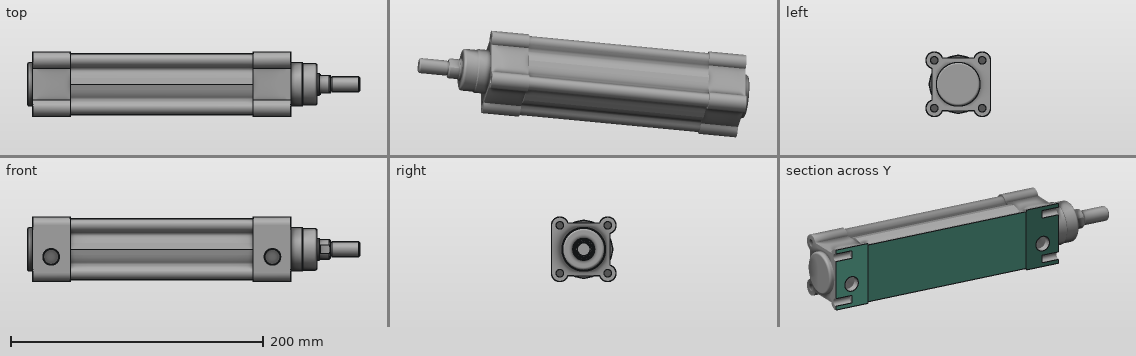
import cadquery as cq
import math


body_length = 205.0
cap_length = 30.0
tube_length = body_length - 2 * cap_length
rod_tip_x = 259.7

bolt_offset = 19.0
lobe_radius = 6.69
cap_half_width = 21.0
cap_front_y = -(bolt_offset + lobe_radius)
bolt_hole_diameter = 6.0
bolt_hole_depth = 15.0
port_diameter = 12.0
port_chamfer = 0.6
port_depth = 12.0
port_inset = 14.7
port_z = -6.0

spigot_radius = 17.4
rear_spigot_length = 4.0
rear_spigot_fillet = 1.8
spigot_chamfer = 0.75
front_spigot_length = 9.5
collar_radius = spigot_radius - spigot_chamfer
collar_end_x = 225.7
collar_fillet = 2.0
wiper_radius = 8.75
wiper_chamfer = 0.5
wiper_end_x = 227.7

barrel_radius = 22.7
column_radius = 5.35
groove_radius = 2.2
ridge_angle = math.radians(12)

rod_radius = 7.9
flat_distance = 7.1
flat_start_x = 228.6
shoulder_x = 236.3
shoulder_chamfer = 1.0
neck_radius = 5.4
neck_end_x = 237.5
thread_radius = 6.0
thread_chamfer = 1.0

bolt_places = [(y, z) for y in (-bolt_offset, bolt_offset) for z in (-bolt_offset, bolt_offset)]


def cylinder_x(start_x, end_x, radius):
    return cq.Workplane("YZ", origin=(start_x, 0, 0)).circle(radius).extrude(end_x - start_x)


def make_cap_block(start_x, outer_face_x, inward, port_x):
    """Square block with a round lobe at each corner, its -Y side filled flush with the lobes."""
    plane = cq.Workplane("YZ", origin=(start_x, 0, 0))
    core = plane.rect(2 * cap_half_width, 2 * cap_half_width).extrude(cap_length)
    front = plane.center(cap_front_y / 2, 0).rect(-cap_front_y, 2 * bolt_offset).extrude(cap_length)
    lobes = plane.pushPoints(bolt_places).circle(lobe_radius).extrude(cap_length)
    block = core.union(front).union(lobes)
    holes = (
        cq.Workplane("YZ", origin=(outer_face_x, 0, 0))
        .pushPoints(bolt_places)
        .circle(bolt_hole_diameter / 2)
        .extrude(inward * bolt_hole_depth)
    )
    port_plane = cq.Workplane("XZ", origin=(port_x, cap_front_y, port_z))
    port = port_plane.circle(port_diameter / 2).extrude(-port_depth)
    port_mouth = (
        port_plane.circle(port_diameter / 2 + port_chamfer)
        .workplane(offset=-port_chamfer)
        .circle(port_diameter / 2)
        .loft()
    )
    return block.cut(holes).cut(port).cut(port_mouth)


def make_rear_cap():
    spigot = cylinder_x(-rear_spigot_length, 0, spigot_radius).faces("<X").edges().fillet(rear_spigot_fillet)
    return make_cap_block(0, 0, 1, port_inset).union(spigot)


def make_front_cap():
    block = make_cap_block(body_length - cap_length, body_length, -1, body_length - port_inset)
    spigot_end_x = body_length + front_spigot_length
    spigot = cylinder_x(body_length, spigot_end_x, spigot_radius).faces(">X").edges().chamfer(spigot_chamfer)
    collar = cylinder_x(spigot_end_x, collar_end_x, collar_radius).faces(">X").edges().fillet(collar_fillet)
    wiper = cylinder_x(collar_end_x, wiper_end_x, wiper_radius).faces(">X").edges().chamfer(wiper_chamfer)
    rod_bore = cylinder_x(body_length - cap_length, wiper_end_x, rod_radius)
    return block.union(spigot).union(collar).union(wiper).cut(rod_bore)


def make_tube():
    """Four-sided barrel with a low ridge along the middle of each side and a column at each corner.

    The outline of one corner is laid out along its diagonal: `along` runs outwards and `across` sideways.
    """
    column_distance = bolt_offset * math.sqrt(2)
    groove_across = column_radius + groove_radius
    groove_along = math.sqrt((barrel_radius + groove_radius) ** 2 - groove_across**2)
    groove_angle = math.atan2(groove_across, groove_along)
    groove_middle = (groove_angle + math.pi / 2) / 2
    ridge_radius = barrel_radius / math.cos(ridge_angle)

    def barrel_point(angle):
        return barrel_radius * math.cos(angle), barrel_radius * math.sin(angle)

    ridge_end = barrel_point(math.pi / 4 - ridge_angle)
    barrel_middle = barrel_point((math.pi / 4 - ridge_angle + groove_angle) / 2)
    groove_start = barrel_point(groove_angle)
    groove_bottom = (
        groove_along - groove_radius * math.cos(groove_middle),
        groove_across - groove_radius * math.sin(groove_middle),
    )
    flank_start = (groove_along, column_radius)
    flank_end = (column_distance, column_radius)
    column_top = (column_distance + column_radius, 0)
    ridge_crest = (ridge_radius * math.cos(math.pi / 4), ridge_radius * math.sin(math.pi / 4))

    def opposite(point):
        return point[0], -point[1]

    def at_corner(point, corner):
        angle = math.pi / 4 + corner * math.pi / 2
        along, across = point
        return (
            along * math.cos(angle) - across * math.sin(angle),
            along * math.sin(angle) + across * math.cos(angle),
        )

    steps = [
        (None, opposite(ridge_end)),
        (opposite(barrel_middle), opposite(groove_start)),
        (opposite(groove_bottom), opposite(flank_start)),
        (None, opposite(flank_end)),
        (column_top, flank_end),
        (None, flank_start),
        (groove_bottom, groove_start),
        (barrel_middle, ridge_end),
    ]
    outline = cq.Workplane("YZ", origin=(cap_length, 0, 0)).moveTo(*at_corner(opposite(ridge_crest), 0))
    for corner in range(4):
        for middle, end in steps:
            if middle is None:
                outline = outline.lineTo(*at_corner(end, corner))
            else:
                outline = outline.threePointArc(at_corner(middle, corner), at_corner(end, corner))
        outline = outline.lineTo(*at_corner(ridge_crest, corner))
    return outline.close().extrude(tube_length)


def make_rod():
    """Piston rod with two wrench flats, a thread undercut and a chamfered threaded end."""
    shank = cylinder_x(body_length - cap_length, shoulder_x, rod_radius)
    shank = shank.faces(">X").edges().chamfer(shoulder_chamfer)
    flat_length = shoulder_x - flat_start_x
    for side in (-1, 1):
        cutter = cq.Workplane("XY").box(flat_length, rod_radius, 2 * rod_radius).translate(
            (flat_start_x + flat_length / 2, side * (flat_distance + rod_radius / 2), 0)
        )
        shank = shank.cut(cutter)
    neck = cylinder_x(shoulder_x, neck_end_x, neck_radius)
    thread = cylinder_x(neck_end_x, rod_tip_x, thread_radius).faces(">X").edges().chamfer(thread_chamfer)
    return shank.union(neck).union(thread)


rear_cap = make_rear_cap()
tube = make_tube()
front_cap = make_front_cap()
rod = make_rod()

result = cq.Compound.makeCompound([rear_cap.val(), tube.val(), front_cap.val(), rod.val()])